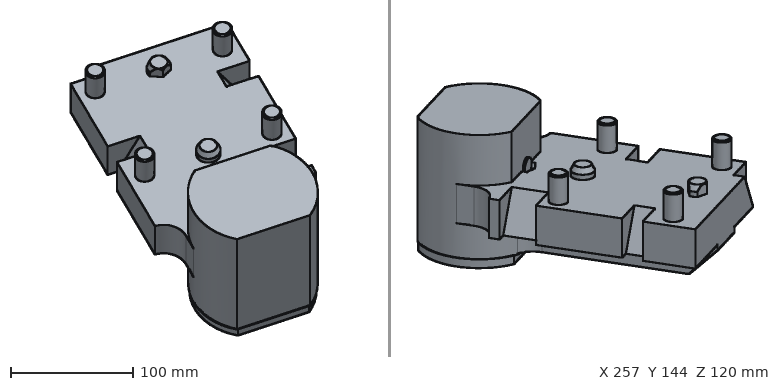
import cadquery as cq
import math


PLATE_LENGTH = 180.0
PLATE_WIDTH = 144.0
PLATE_THICKNESS = 35.0
NECK_FILLET = 19.8
NOTCH_DEPTH_TOP = 28.8
NOTCH_DEPTH_BOTTOM = 8.7
FRONT_NOTCHES = ((0.0, 9.5), (84.5, 103.3))
BACK_NOTCHES = ((45.7, 63.7), (138.8, 170.6))

HEAD_DIAMETER = 106.1
HEAD_X = 215.0
HEAD_LEFT = 174.2
PART_LENGTH = 257.0
HEAD_HEIGHT = 45.0

TONGUE_WIDTH = 39.3
TONGUE_DEPTH = 30.0
TONGUE_CHAMFER = 25.0
TONGUE_FILLET = 21.0
BOSS_LEFT = 170.1
BOSS_DEPTH = 30.8
FLANGE_DIAMETER = 104.3
FLANGE_LEFT = 173.2
FLANGE_RIGHT = 256.5
FLANGE_THICKNESS = 8.2
DISC_DIAMETER = 63.0
DISC_THICKNESS = 1.0

PIN_X = 25.0
PIN_SPACING_X = 100.0
PIN_SPACING_Y = 113.5
PIN_DIAMETER = 16.0
PIN_HEIGHT = 25.7
PIN_CHAMFER = 1.3
LOCATOR_DIAMETER = 20.0
LOCATOR_TIP_DIAMETER = 14.5
LOCATOR_BASE_HEIGHT = 4.5
LOCATOR_HEIGHT = 10.0
DIAMOND_LENGTH = 16.7
DIAMOND_FLAT = 6.2

GROOVE_TIP_X = 166.8
GROOVE_CONE_LENGTH = 3.0
SIDE_PIN_X = 172.5

head_radius = HEAD_DIAMETER / 2
half_width = PLATE_WIDTH / 2


def cylinder(x, y, z, diameter, height):
    """Upright cylinder standing on height z."""
    return cq.Workplane("XY", origin=(x, y, z)).circle(diameter / 2).extrude(height)


def trimmed_cylinder(diameter, z, height, left, right):
    """Cylinder on the head axis, cut flat at the X positions left and right."""
    slab = cq.Workplane("XY", origin=((left + right) / 2, 0, z))
    slab = slab.rect(right - left, diameter).extrude(height)
    return cylinder(HEAD_X, 0, z, diameter, height).intersect(slab)


def make_notch(start, end, side):
    """Edge notch with a sloping floor; side is -1 or +1 along Y."""
    profile = [
        (side * half_width, 0),
        (side * (half_width - NOTCH_DEPTH_BOTTOM), 0),
        (side * (half_width - NOTCH_DEPTH_TOP), PLATE_THICKNESS),
        (side * half_width, PLATE_THICKNESS),
    ]
    return cq.Workplane("YZ", origin=(start, 0, 0)).polyline(profile).close().extrude(end - start)


def make_plate():
    """Plate with concave shoulders running tangentially into the round end."""
    shoulder_x = PLATE_LENGTH + NECK_FILLET
    shoulder_y = head_radius + NECK_FILLET
    drop = shoulder_y - half_width
    start_x = shoulder_x - math.sqrt(NECK_FILLET**2 - drop**2)
    bend = NECK_FILLET * math.sqrt(0.5)
    half = (
        cq.Workplane("XY")
        .lineTo(0, half_width)
        .lineTo(start_x, half_width)
        .threePointArc((shoulder_x - bend, shoulder_y - bend), (shoulder_x, head_radius))
        .lineTo(HEAD_X, head_radius)
        .lineTo(HEAD_X, 0)
        .close()
        .extrude(PLATE_THICKNESS)
    )
    plate = half.union(half.mirror("XZ"))
    plate = plate.union(trimmed_cylinder(HEAD_DIAMETER, 0, PLATE_THICKNESS, HEAD_LEFT, PART_LENGTH))
    for start, end in FRONT_NOTCHES:
        plate = plate.cut(make_notch(start, end, -1))
    for start, end in BACK_NOTCHES:
        plate = plate.cut(make_notch(start, end, 1))
    return plate


def make_tongue():
    """Bar under the plate, flared into the boss by tangent fillets."""
    half_tongue = TONGUE_WIDTH / 2
    center_y = half_tongue + TONGUE_FILLET
    center_distance = head_radius + TONGUE_FILLET
    center_x = HEAD_X - math.sqrt(center_distance**2 - center_y**2)
    end_angle = math.atan2(-center_y, HEAD_X - center_x)
    mid_angle = (end_angle - math.pi / 2) / 2

    def arc_point(angle):
        return (
            center_x + TONGUE_FILLET * math.cos(angle),
            center_y + TONGUE_FILLET * math.sin(angle),
        )

    half = (
        cq.Workplane("XY")
        .lineTo(0, half_tongue)
        .lineTo(center_x, half_tongue)
        .threePointArc(arc_point(mid_angle), arc_point(end_angle))
        .lineTo(HEAD_X, 0)
        .close()
        .extrude(-TONGUE_DEPTH)
    )
    tongue = half.union(half.mirror("XZ"))
    return tongue.faces("<X").edges("<Z").chamfer(TONGUE_CHAMFER)


def make_boss():
    """Boss, flange and end disc stacked downward from the plate."""
    flange_bottom = -BOSS_DEPTH - FLANGE_THICKNESS
    boss = trimmed_cylinder(HEAD_DIAMETER, -BOSS_DEPTH, BOSS_DEPTH, BOSS_LEFT, PART_LENGTH)
    flange = trimmed_cylinder(
        FLANGE_DIAMETER, flange_bottom, FLANGE_THICKNESS, FLANGE_LEFT, FLANGE_RIGHT
    )
    disc = cylinder(HEAD_X, 0, flange_bottom, DISC_DIAMETER, -DISC_THICKNESS)
    return boss.union(flange).union(disc)


def make_locator(x):
    """Short round locating pin with a conical top."""
    return (
        cq.Workplane("XZ", origin=(x, 0, PLATE_THICKNESS))
        .lineTo(LOCATOR_DIAMETER / 2, 0)
        .lineTo(LOCATOR_DIAMETER / 2, LOCATOR_BASE_HEIGHT)
        .lineTo(LOCATOR_TIP_DIAMETER / 2, LOCATOR_HEIGHT)
        .lineTo(0, LOCATOR_HEIGHT)
        .close()
        .revolve(360, (0, 0, 0), (0, 1, 0))
    )


def make_diamond_locator(x):
    """Locating pin relieved to a diamond that is pointed along X."""
    tip = DIAMOND_LENGTH / 2
    flat = DIAMOND_FLAT / 2
    side = LOCATOR_DIAMETER / 2
    outline = [(tip, 0), (flat, side), (-flat, side), (-tip, 0), (-flat, -side), (flat, -side)]
    diamond = cq.Workplane("XY", origin=(x, 0, PLATE_THICKNESS)).polyline(outline).close()
    return make_locator(x).intersect(diamond.extrude(LOCATOR_HEIGHT))


def make_groove():
    """Half-round groove along X in the plate top with a conical end."""
    radius = LOCATOR_DIAMETER / 2
    return (
        cq.Workplane("XY", origin=(GROOVE_TIP_X, 0, PLATE_THICKNESS))
        .lineTo(GROOVE_CONE_LENGTH, radius)
        .lineTo(HEAD_LEFT - GROOVE_TIP_X, radius)
        .lineTo(HEAD_LEFT - GROOVE_TIP_X, 0)
        .close()
        .revolve(360, (0, 0, 0), (1, 0, 0))
    )


def make_side_pin():
    """Horizontal pin reaching from the groove into the head."""
    pin = cq.Workplane("YZ", origin=(SIDE_PIN_X, 0, PLATE_THICKNESS)).circle(PIN_DIAMETER / 2)
    return pin.extrude(HEAD_X - SIDE_PIN_X)


result = make_plate().union(make_tongue()).union(make_boss())
result = result.union(
    trimmed_cylinder(HEAD_DIAMETER, PLATE_THICKNESS, HEAD_HEIGHT, HEAD_LEFT, PART_LENGTH)
)
result = result.cut(make_groove()).union(make_side_pin())

for pin_x in (PIN_X, PIN_X + PIN_SPACING_X):
    for pin_y in (-PIN_SPACING_Y / 2, PIN_SPACING_Y / 2):
        pin = cylinder(pin_x, pin_y, PLATE_THICKNESS, PIN_DIAMETER, PIN_HEIGHT)
        result = result.union(pin.faces(">Z").chamfer(PIN_CHAMFER))

result = result.union(make_diamond_locator(PIN_X))
result = result.union(make_locator(PIN_X + PIN_SPACING_X))